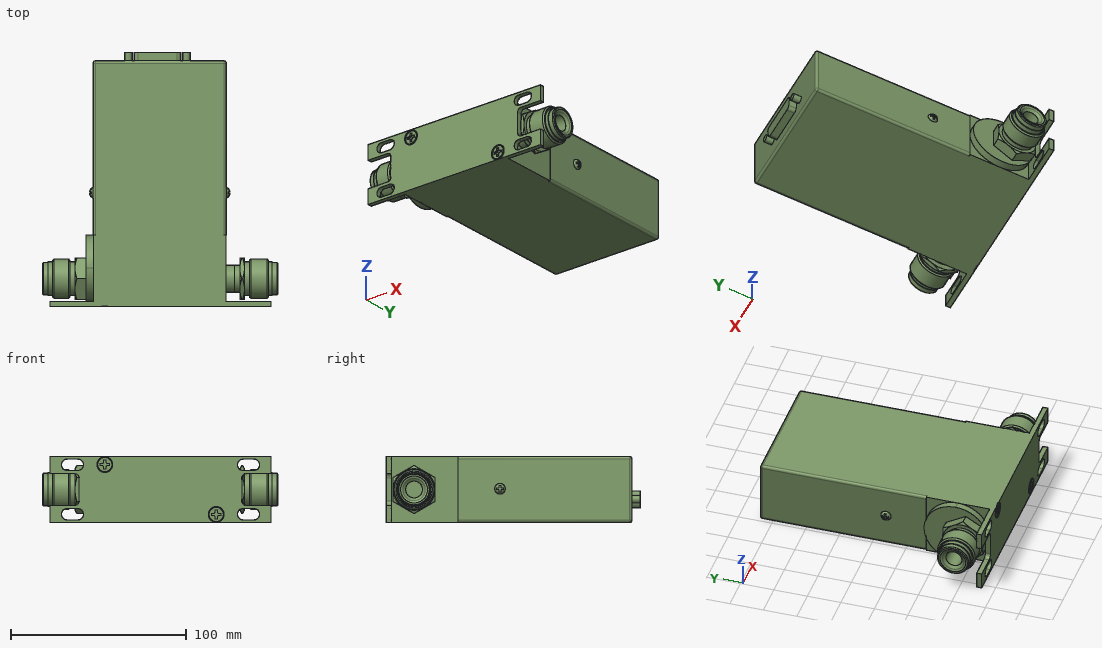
import cadquery as cq
import math

HEIGHT = 37.8

PLATE_LENGTH = 126.0
PLATE_THICKNESS = 3.0
NOTCH_DEPTH = 16.7
NOTCH_HEIGHT = 18.0
NOTCH_CORNER_RADIUS = 2.5
SLOT_LENGTH = 12.5
SLOT_WIDTH = 6.4
SLOT_X = 50.1
SLOT_Z = 14.0

BODY_WIDTH = 75.9
BODY_CENTER_X = -0.5
BASE_DEPTH = HEIGHT
COVER_END_Y = 140.1
COVER_FILLET = 1.5
COVER_OVERHANG = 0.1
BASE_END_Y = PLATE_THICKNESS + BASE_DEPTH
BODY_LEFT_X = BODY_CENTER_X - BODY_WIDTH / 2
BODY_RIGHT_X = BODY_CENTER_X + BODY_WIDTH / 2

FITTING_Y = 16.0
LEFT_SEAT_X = -42.5
LEFT_SEAT_Y = PLATE_THICKNESS + BASE_DEPTH / 2
RIGHT_SEAT_X = 42.0
SHANK_DIAMETER = 15.5

PLATE_SCREW_X = 31.7
PLATE_SCREW_Z = 14.2
PLATE_SCREW_RADIUS = 4.5
SCREW_GAP_WIDTH = 0.5
SCREW_GAP_DEPTH = 0.5
PLATE_CROSS_LENGTH = 5.2
PLATE_CROSS_WIDTH = 1.3

SIDE_SCREW_Y = 64.9
SIDE_SCREW_Z = 0.5
SIDE_SCREW_RADIUS = 3.0
SIDE_SCREW_HEIGHT = 2.2
SIDE_CROSS_LENGTH = 3.8
SIDE_CROSS_WIDTH = 1.0
CROSS_DEPTH = 1.3
CROSS_CENTER_RATIO = 0.5

CONNECTOR_X = -1.7
CONNECTOR_Z = -5.6
CONNECTOR_HEIGHT = 9.7
CONNECTOR_TOP_WIDTH = 27.4
CONNECTOR_SLANT = 10.0
CONNECTOR_CORNER_RADIUS = 2.2
CONNECTOR_END_Y = 144.9
POST_OFFSET = 16.5
POST_DIAMETER = 4.3

HEX_FLATS = 23.8
HEX_CHAMFER_ANGLE = 30.0
NECK_RADIUS = 9.7
NUT_RADIUS = 11.3
NUT_CHAMFER = 0.9
TIP_RADIUS = 9.3
TIP_CHAMFER = 0.6
BORE_RADIUS = 4.8
SEAT_RADIUS = 6.4
SEAT_LENGTH = 1.5
MOUTH_RADIUS = 7.7
MOUTH_LENGTH = 0.6

LEFT_HEX_START, LEFT_HEX_END = 0.0, 6.2
LEFT_NUT_START, LEFT_NUT_END = 9.1, 19.0
LEFT_COLLAR_END, LEFT_TIP_END = 21.6, 24.8
RIGHT_HEX_START, RIGHT_HEX_END = 3.2, 5.8
RIGHT_NUT_START, RIGHT_NUT_END = 8.5, 19.5
RIGHT_COLLAR_END, RIGHT_TIP_END = 21.6, 24.9


def box_between(x_range, y_range, z_range):
    """Axis-aligned box given by its limits on each axis."""
    sizes = [end - start for start, end in (x_range, y_range, z_range)]
    corner = cq.Vector(x_range[0], y_range[0], z_range[0])
    return cq.Workplane("XY").box(*sizes, centered=False).translate(corner)


def cylinder(radius, start, direction, length):
    """Cylinder that grows from a start point along a direction."""
    return cq.Workplane(cq.Solid.makeCylinder(radius, length, cq.Vector(*start), cq.Vector(*direction)))



def make_plate():
    """Mounting plate with a notch at each end and four slotted holes."""
    half_length = PLATE_LENGTH / 2
    half_height = HEIGHT / 2
    plate = box_between((-half_length, half_length), (0, PLATE_THICKNESS), (-half_height, half_height))
    for side in (-1, 1):
        notch = (
            cq.Workplane("XY")
            .box(2 * NOTCH_DEPTH, 2 * PLATE_THICKNESS, NOTCH_HEIGHT)
            .edges("|Y")
            .fillet(NOTCH_CORNER_RADIUS)
            .translate((side * half_length, PLATE_THICKNESS / 2, 0))
        )
        plate = plate.cut(notch)
    slots = (
        cq.Workplane("XZ")
        .rect(2 * SLOT_X, 2 * SLOT_Z, forConstruction=True)
        .vertices()
        .slot2D(SLOT_LENGTH, SLOT_WIDTH)
        .extrude(-PLATE_THICKNESS)
    )
    return plate.cut(slots)


def make_base():
    """Solid base block with the round seats for both fittings."""
    half_height = HEIGHT / 2
    left_x = BODY_LEFT_X + COVER_OVERHANG
    right_x = BODY_RIGHT_X - COVER_OVERHANG
    block = box_between((left_x, right_x), (0, BASE_END_Y), (-half_height, half_height))
    left_seat = cylinder(BASE_DEPTH / 2, (LEFT_SEAT_X, LEFT_SEAT_Y, 0), (1, 0, 0), left_x - LEFT_SEAT_X)
    right_seat = cylinder(SHANK_DIAMETER / 2, (right_x, FITTING_Y, 0), (1, 0, 0), RIGHT_SEAT_X - right_x)
    return block.union(left_seat).union(right_seat)


def make_cover():
    """Cover with every edge rounded except those where it meets the base."""
    half_height = HEIGHT / 2
    cover = box_between((BODY_LEFT_X, BODY_RIGHT_X), (BASE_END_Y, COVER_END_Y), (-half_height, half_height))
    return cover.edges("|Y or >Y").fillet(COVER_FILLET)


def make_connector():
    """D-shaped connector, wider at its top, between two round posts."""
    length = CONNECTOR_END_Y - COVER_END_Y
    half_top = CONNECTOR_TOP_WIDTH / 2
    half_bottom = half_top - CONNECTOR_HEIGHT * math.tan(math.radians(CONNECTOR_SLANT))
    half_height = CONNECTOR_HEIGHT / 2
    rear_face = cq.Workplane("XZ", origin=(CONNECTOR_X, COVER_END_Y, CONNECTOR_Z))
    shell = (
        rear_face
        .moveTo(-half_top, half_height)
        .lineTo(half_top, half_height)
        .lineTo(half_bottom, -half_height)
        .lineTo(-half_bottom, -half_height)
        .close()
        .extrude(-length)
        .edges("|Y")
        .fillet(CONNECTOR_CORNER_RADIUS)
    )
    posts = (
        rear_face
        .pushPoints([(-POST_OFFSET, 0), (POST_OFFSET, 0)])
        .circle(POST_DIAMETER / 2)
        .extrude(-length)
    )
    return shell.union(posts)


def cross_recess(length, width):
    """Cross-shaped screwdriver recess about the Y axis, widened at its middle by a square set diagonally."""
    depth = 2 * CROSS_DEPTH
    center_side = CROSS_CENTER_RATIO * length
    center = cq.Workplane("XY").box(center_side, depth, center_side).rotate((0, 0, 0), (0, 1, 0), 45)
    for x_size, z_size in ((length, width), (width, length)):
        center = center.union(cq.Workplane("XY").box(x_size, depth, z_size))
    return center


def make_plate_screw_cuts():
    """Ring gap around each flush screw head, with the cross recess inside it."""
    cuts = cq.Workplane("XY")
    for side in (-1, 1):
        x, z = side * PLATE_SCREW_X, -side * PLATE_SCREW_Z
        gap = (
            cq.Workplane("XZ", origin=(x, 0, z))
            .circle(PLATE_SCREW_RADIUS)
            .circle(PLATE_SCREW_RADIUS - SCREW_GAP_WIDTH)
            .extrude(-SCREW_GAP_DEPTH)
        )
        recess = cross_recess(PLATE_CROSS_LENGTH, PLATE_CROSS_WIDTH).translate((x, 0, z))
        cuts = cuts.add(gap).add(recess)
    return cuts.combine()


def dome_midpoint():
    """Point halfway along the spherical cap's arc from rim to crown."""
    sphere_radius = (SIDE_SCREW_RADIUS**2 + SIDE_SCREW_HEIGHT**2) / (2 * SIDE_SCREW_HEIGHT)
    half_angle = math.asin(SIDE_SCREW_RADIUS / sphere_radius) / 2
    center_height = SIDE_SCREW_HEIGHT - sphere_radius
    return (sphere_radius * math.sin(half_angle), center_height + sphere_radius * math.cos(half_angle))


def make_side_screw(side):
    """Domed screw head with a cross recess on one side of the cover."""
    dome = (
        cq.Workplane("XY")
        .lineTo(SIDE_SCREW_RADIUS, 0)
        .threePointArc(dome_midpoint(), (0, SIDE_SCREW_HEIGHT))
        .close()
        .revolve(360, (0, 0), (0, 1))
    )
    recess = cross_recess(SIDE_CROSS_LENGTH, SIDE_CROSS_WIDTH).translate((0, SIDE_SCREW_HEIGHT, 0))
    face_x = BODY_LEFT_X if side < 0 else BODY_RIGHT_X
    screw = dome.cut(recess).rotate((0, 0, 0), (0, 0, 1), -side * 90)
    return screw.translate((face_x, SIDE_SCREW_Y, SIDE_SCREW_Z))


def make_housing():
    """Plate, base, cover, connector and screws as one solid."""
    housing = make_plate().union(make_base()).union(make_cover()).union(make_connector())
    for side in (-1, 1):
        housing = housing.union(make_side_screw(side))
    return housing.cut(make_plate_screw_cuts()).solids()



def revolve_about_x(points):
    """Solid of revolution about the X axis from (x, radius) points."""
    return cq.Workplane("XY").polyline(points).close().revolve(360, (0, 0), (1, 0))


def make_hex(start, end, chamfer_start):
    """Hexagon with corners toward +Z and -Z, its end corners chamfered."""
    flat_radius = HEX_FLATS / 2
    corner_radius = flat_radius / math.cos(math.pi / 6)
    chamfer = (corner_radius - flat_radius) * math.tan(math.radians(HEX_CHAMFER_ANGLE))
    prism = (
        cq.Workplane("YZ", origin=(start, 0, 0))
        .polygon(6, 2 * corner_radius)
        .extrude(end - start)
        .rotate((0, 0, 0), (1, 0, 0), 90)
    )
    if chamfer_start:
        start_points = [(start, flat_radius), (start + chamfer, corner_radius)]
    else:
        start_points = [(start, corner_radius)]
    end_points = [(end - chamfer, corner_radius), (end, flat_radius)]
    return prism.intersect(revolve_about_x([(start, 0), *start_points, *end_points, (end, 0)]))


def make_fitting(hex_start, hex_end, nut_start, nut_end, collar_end, tip_end):
    """Tube fitting along +X from its seat at the origin: shank, hexagon, neck, nut, collar and tip."""
    nut_rim = NUT_RADIUS - NUT_CHAMFER
    barrel = revolve_about_x([
        (hex_end, 0),
        (hex_end, NECK_RADIUS),
        (nut_start, NECK_RADIUS),
        (nut_start, nut_rim),
        (nut_start + NUT_CHAMFER, NUT_RADIUS),
        (nut_end - NUT_CHAMFER, NUT_RADIUS),
        (nut_end, nut_rim),
        (nut_end, NECK_RADIUS),
        (collar_end, NECK_RADIUS),
        (collar_end, TIP_RADIUS),
        (tip_end - TIP_CHAMFER, TIP_RADIUS),
        (tip_end, TIP_RADIUS - TIP_CHAMFER),
        (tip_end, 0),
    ])
    has_shank = hex_start > 0
    fitting = barrel.union(make_hex(hex_start, hex_end, chamfer_start=has_shank))
    if has_shank:
        fitting = fitting.union(cylinder(SHANK_DIAMETER / 2, (0, 0, 0), (1, 0, 0), hex_start))
    seat_end = tip_end - MOUTH_LENGTH
    bore = revolve_about_x([
        (0, 0),
        (0, BORE_RADIUS),
        (seat_end - SEAT_LENGTH, BORE_RADIUS),
        (seat_end, SEAT_RADIUS),
        (tip_end, MOUTH_RADIUS),
        (tip_end, 0),
    ])
    return fitting.cut(bore).solids()


def make_left_fitting():
    """Fitting that points toward -X, its hexagon directly on the large seat."""
    fitting = make_fitting(
        LEFT_HEX_START, LEFT_HEX_END, LEFT_NUT_START, LEFT_NUT_END, LEFT_COLLAR_END, LEFT_TIP_END
    )
    return fitting.mirror("YZ").translate((LEFT_SEAT_X, FITTING_Y, 0))


def make_right_fitting():
    """Fitting that points toward +X, on a short shank."""
    fitting = make_fitting(
        RIGHT_HEX_START, RIGHT_HEX_END, RIGHT_NUT_START, RIGHT_NUT_END, RIGHT_COLLAR_END, RIGHT_TIP_END
    )
    return fitting.translate((RIGHT_SEAT_X, FITTING_Y, 0))


housing = make_housing()
left_fitting = make_left_fitting()
right_fitting = make_right_fitting()

result = cq.Compound.makeCompound([housing.val(), left_fitting.val(), right_fitting.val()])